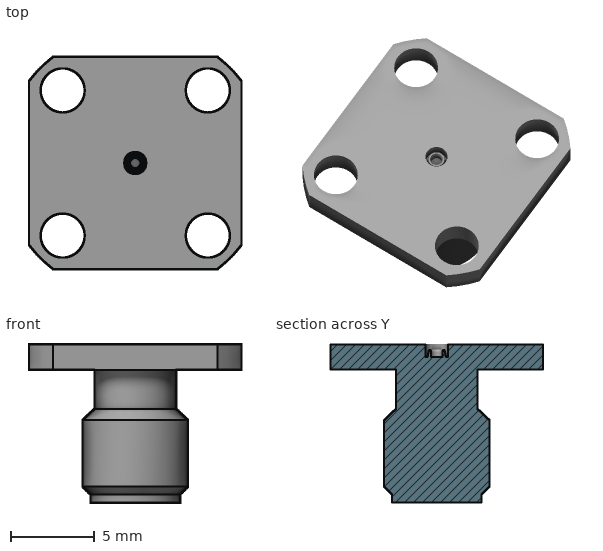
import cadquery as cq

FLANGE_SIDE = 12.7
FLANGE_THICKNESS = 1.54
CORNER_RADIUS = 8.03

HOLE_DIAMETER = 2.62
HOLE_SPACING = 8.67

TOTAL_HEIGHT = 9.47
NECK_RADIUS = 2.45
BODY_RADIUS = 3.16
TIP_RADIUS = 2.69
NECK_LENGTH = 2.32
SHOULDER_HEIGHT = 0.67
TIP_CHAMFER_HEIGHT = 0.47
TIP_LENGTH = 0.5

BORE_RADIUS = 0.66
BORE_DEPTH = 0.76

SLEEVE_TOP_DEPTH = 0.32
SLEEVE_BASE_RADIUS = 0.57
SLEEVE_RIM_RADIUS = 0.47
COUNTERSINK_RADIUS = 0.38
COUNTERSINK_DEPTH = 0.14
SOCKET_RADIUS = 0.32


def revolve_about_z(half_profile):
    """Turn a closed outline of (radius, height) points about the Z axis."""
    return cq.Workplane("XZ").polyline(half_profile).close().revolve(360, (0, 0), (0, 1))


def make_flange():
    """Square plate with its corners rounded off by one circle about the centre."""
    square = cq.Workplane("XY").rect(FLANGE_SIDE, FLANGE_SIDE).extrude(-FLANGE_THICKNESS)
    disc = cq.Workplane("XY").circle(CORNER_RADIUS).extrude(-FLANGE_THICKNESS)
    return square.intersect(disc)


def make_barrel():
    """Stepped round barrel hanging below the flange."""
    neck_bottom = -FLANGE_THICKNESS - NECK_LENGTH
    body_top = neck_bottom - SHOULDER_HEIGHT
    tip_bottom = -TOTAL_HEIGHT
    tip_top = tip_bottom + TIP_LENGTH
    body_bottom = tip_top + TIP_CHAMFER_HEIGHT
    half_profile = [
        (0, -FLANGE_THICKNESS),
        (NECK_RADIUS, -FLANGE_THICKNESS),
        (NECK_RADIUS, neck_bottom),
        (BODY_RADIUS, body_top),
        (BODY_RADIUS, body_bottom),
        (TIP_RADIUS, tip_top),
        (TIP_RADIUS, tip_bottom),
        (0, tip_bottom),
    ]
    return revolve_about_z(half_profile)


def make_mounting_holes():
    """Four through holes on a square pattern."""
    return (
        cq.Workplane("XY")
        .rect(HOLE_SPACING, HOLE_SPACING, forConstruction=True)
        .vertices()
        .circle(HOLE_DIAMETER / 2)
        .extrude(-FLANGE_THICKNESS)
    )


def make_bore():
    """Round blind bore in the top face."""
    return cq.Workplane("XY").circle(BORE_RADIUS).extrude(-BORE_DEPTH)


def make_sleeve():
    """Tapered ring whose socket ends level with the bore floor."""
    floor = -BORE_DEPTH
    rim = -SLEEVE_TOP_DEPTH
    half_profile = [
        (SOCKET_RADIUS, floor),
        (SLEEVE_BASE_RADIUS, floor),
        (SLEEVE_RIM_RADIUS, rim),
        (COUNTERSINK_RADIUS, rim),
        (SOCKET_RADIUS, rim - COUNTERSINK_DEPTH),
    ]
    return revolve_about_z(half_profile)


result = make_flange().union(make_barrel())
result = result.cut(make_mounting_holes())
result = result.cut(make_bore())
result = result.union(make_sleeve())